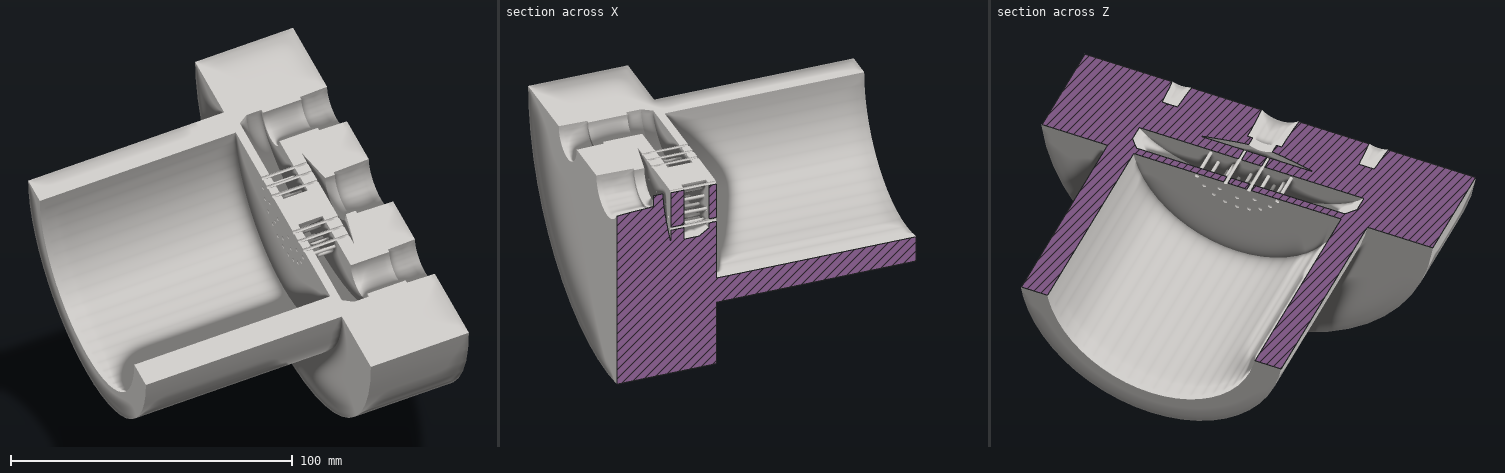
import cadquery as cq
import math

flange_diameter = 152.4
flange_thickness = 38.1
tube_length = 76.2
tube_outer_diameter = 102.1
tube_inner_diameter = 81.8

back_y = tube_length + flange_thickness
face_y = tube_length

inlet_mouth_diameter = 21.2
inlet_thread_depth = 13.9
inlet_bore_diameter = 18.0
dome_start_depth = 17.7
dome_end_depth = 20.5
dome_diameter = 45.7

side_inlet_offset = 38.1
side_mouth_diameter = 17.2
side_thread_depth = 10.7
side_bore_diameter = 14.2

thread_taper = 1 / 16

manifold_top_depth = 25.6
manifold_bottom_depth = 35.0
manifold_half_length = 46.6
manifold_half_width = 21.3
manifold_core_radius = 6.4
chamfer_start_depth = 31.4
chamfer_width = 2.5

hole_rings = [(9.0, 6), (13.5, 12), (18.0, 24)]
post_diameter = 1.2
post_bore_diameter = 1.0
outlet_diameter = 1.5
post_tip_depth = 36.9


def revolve_about_y(profile):
    """Revolve (radius, y) points around the Y axis."""
    return cq.Workplane("XY").polyline(profile).close().revolve(360, (0, 0), (0, 1))


def depth_profile(profile):
    """Turn (radius, depth below the back face) points into (radius, y) points."""
    return [(radius, back_y - depth) for radius, depth in profile]


def body():
    outer = tube_outer_diameter / 2
    inner = tube_inner_diameter / 2
    rim = flange_diameter / 2
    return revolve_about_y([
        (0, back_y), (rim, back_y), (rim, face_y), (outer, face_y),
        (outer, 0), (inner, 0), (inner, face_y), (0, face_y),
    ])


def inlet(mouth_diameter, thread_depth, bore_diameter, bore_depth):
    """Tapered thread hole followed by a plain bore, on the Y axis."""
    thread_end_diameter = mouth_diameter - thread_depth * thread_taper
    return revolve_about_y(depth_profile([
        (0, 0), (mouth_diameter / 2, 0),
        (thread_end_diameter / 2, thread_depth),
        (bore_diameter / 2, thread_depth),
        (bore_diameter / 2, bore_depth), (0, bore_depth),
    ]))


def dome():
    return revolve_about_y(depth_profile([
        (0, dome_start_depth), (inlet_bore_diameter / 2, dome_start_depth),
        (dome_diameter / 2, dome_end_depth), (0, dome_end_depth),
    ]))


def plane_at_depth(depth):
    """XZ workplane at a depth below the back face; its normal points deeper, to -Y."""
    return cq.Workplane("XZ", origin=(0, back_y - depth, 0))


def manifold():
    """Elliptical chamber with a chamfered floor edge, around a round solid core."""
    straight_depth = chamfer_start_depth - manifold_top_depth
    chamfer_depth = manifold_bottom_depth - chamfer_start_depth
    chamber = (
        plane_at_depth(manifold_top_depth)
        .ellipse(manifold_half_length, manifold_half_width)
        .extrude(straight_depth)
    )
    chamfered_floor = (
        plane_at_depth(chamfer_start_depth)
        .ellipse(manifold_half_length, manifold_half_width)
        .workplane(offset=chamfer_depth)
        .ellipse(manifold_half_length - chamfer_width, manifold_half_width - chamfer_width)
        .loft(ruled=True)
    )
    core = (
        plane_at_depth(manifold_top_depth)
        .circle(manifold_core_radius)
        .extrude(straight_depth + chamfer_depth)
    )
    return chamber.union(chamfered_floor).cut(core)


def hole_centres():
    """(x, z) of every hole lying on or below the cut plane."""
    centres = []
    for radius, count in hole_rings:
        for index in range(count // 2 + 1):
            angle = 2 * math.pi * index / count
            centres.append((radius * math.cos(angle), -radius * math.sin(angle)))
    return centres


def rods(diameter, start_depth, end_depth):
    """A rod at every hole centre, between two depths below the back face."""
    return (
        plane_at_depth(start_depth)
        .pushPoints(hole_centres())
        .circle(diameter / 2)
        .extrude(end_depth - start_depth)
    )


def lower_half():
    return cq.Workplane("XY").box(
        flange_diameter, back_y, flange_diameter / 2, centered=(True, False, False)
    ).translate((0, 0, -flange_diameter / 2))


head = body().cut(manifold())
head = head.cut(rods(outlet_diameter, manifold_bottom_depth, flange_thickness))
head = head.union(rods(post_diameter, manifold_top_depth, post_tip_depth))
head = head.cut(rods(post_bore_diameter, dome_end_depth, post_tip_depth))

head = head.cut(
    inlet(inlet_mouth_diameter, inlet_thread_depth, inlet_bore_diameter, dome_start_depth)
).cut(dome())

side_inlet = inlet(side_mouth_diameter, side_thread_depth, side_bore_diameter, manifold_top_depth)
for side in (-1, 1):
    head = head.cut(side_inlet.translate((side * side_inlet_offset, 0, 0)))

result = head.intersect(lower_half())